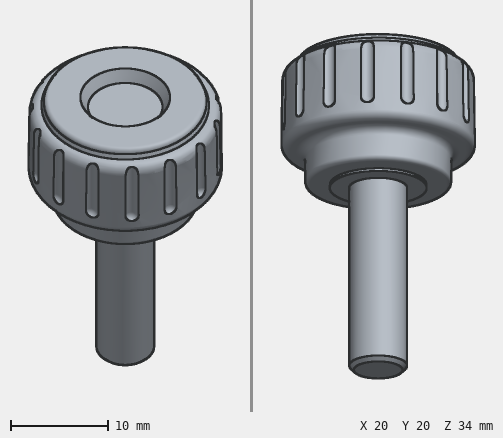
import cadquery as cq
import math

stud_radius = 3.0
stud_length = 20.0
stud_chamfer = 0.48
collar_radius = 5.0
collar_height = 0.3

overall_height = 33.95
base_bottom = stud_length + collar_height
head_bottom = 23.95
head_top = 32.85

base_radius = 7.55
base_edge_radius = 0.48
neck_fillet = 0.88
head_radius = 9.98
head_lower_fillet = 0.88
head_taper = 0.1
head_upper_fillet = 1.2

crown_radius = 8.62
crown_wall_slope = 0.25
crown_edge_radius = 0.58

recess_top_radius = 4.62
recess_floor_radius = 3.85
recess_depth = 1.3

groove_count = 15
groove_radius = 0.75
groove_axis_radius = 10.22
groove_end_height = 26.4
first_groove_angle = -90.0


def fillet_midpoint(center, radius, angle):
    """Point on a profile arc at the given angle in degrees."""
    turn = math.radians(angle)
    return (center[0] + radius * math.cos(turn), center[1] + radius * math.sin(turn))


def make_stud():
    shank = cq.Workplane("XY").circle(stud_radius).extrude(stud_length)
    shank = shank.faces("<Z").chamfer(stud_chamfer)
    collar = cq.Workplane("XY", origin=(0, 0, stud_length)).circle(collar_radius).extrude(collar_height)
    return shank.union(collar)


def make_knob_blank():
    """Revolve the knob outline, from the flat underside up to the crown."""
    base_edge_center = (base_radius - base_edge_radius, base_bottom + base_edge_radius)
    neck_center = (base_radius + neck_fillet, head_bottom - neck_fillet)
    lower_center = (head_radius - head_lower_fillet, head_bottom + head_lower_fillet)
    head_top_radius = head_radius - head_taper
    upper_center = (head_top_radius - head_upper_fillet, head_top - head_upper_fillet)
    crown_shoulder = crown_radius - crown_wall_slope
    crown_center = (crown_shoulder - crown_edge_radius, overall_height - crown_edge_radius)
    profile = (
        cq.Workplane("XZ")
        .moveTo(0, base_bottom)
        .lineTo(base_edge_center[0], base_bottom)
        .threePointArc(
            fillet_midpoint(base_edge_center, base_edge_radius, -45),
            (base_radius, base_edge_center[1]),
        )
        .lineTo(base_radius, neck_center[1])
        .threePointArc(fillet_midpoint(neck_center, neck_fillet, 135), (neck_center[0], head_bottom))
        .lineTo(lower_center[0], head_bottom)
        .threePointArc(
            fillet_midpoint(lower_center, head_lower_fillet, -45),
            (head_radius, lower_center[1]),
        )
        .lineTo(head_top_radius, upper_center[1])
        .threePointArc(
            fillet_midpoint(upper_center, head_upper_fillet, 45),
            (upper_center[0], head_top),
        )
        .lineTo(crown_radius, head_top)
        .lineTo(crown_shoulder, crown_center[1])
        .threePointArc(
            fillet_midpoint(crown_center, crown_edge_radius, 45),
            (crown_center[0], overall_height),
        )
        .lineTo(0, overall_height)
        .close()
    )
    return profile.revolve(360, (0, 0, 0), (0, 1, 0))


def make_recess():
    floor = overall_height - recess_depth
    return (
        cq.Workplane("XY", origin=(0, 0, floor))
        .circle(recess_floor_radius)
        .workplane(offset=recess_depth)
        .circle(recess_top_radius)
        .loft(ruled=True)
    )


def make_groove_cutter(angle):
    """Vertical round cutter with a ball lower end, open through the top of the head."""
    length = overall_height - groove_end_height
    base = cq.Workplane("XY", origin=(groove_axis_radius, 0, groove_end_height))
    cutter = base.circle(groove_radius).extrude(length).union(base.sphere(groove_radius))
    return cutter.rotate((0, 0, 0), (0, 0, 1), angle)


def make_knob():
    knob = make_knob_blank().cut(make_recess())
    for index in range(groove_count):
        angle = first_groove_angle + index * 360.0 / groove_count
        knob = knob.cut(make_groove_cutter(angle))
    return knob


stud = make_stud()
knob = make_knob()
result = cq.Compound.makeCompound([stud.val(), knob.val()])